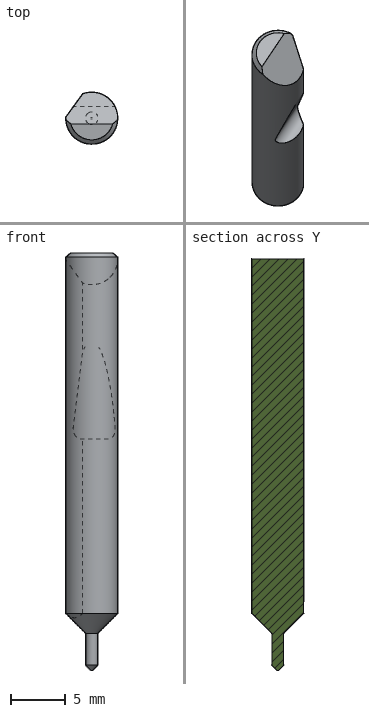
import cadquery as cq
import math

total_length = 38.1
shank_radius = 4.76 / 2

tip_radius = 0.08
neck_radius = 0.57
neck_bottom_z = neck_radius - tip_radius
neck_top_z = 3.4
shoulder_top_z = neck_top_z + shank_radius - neck_radius

top_chamfer = 0.4
bevel_top_y = -0.53

flat_distance = 1.98
flat_angle = 144.0

notch_floor_z = 21.1
notch_top_z = 30.0
notch_slope_angle = 9.7
notch_corner_radius = 1.0

clearance = 2.0
cut_reach = shank_radius + clearance


def make_turned_body():
    """Round body from the tip at the origin up to the chamfered top end."""
    return (
        cq.Workplane("XZ")
        .moveTo(0, 0)
        .lineTo(tip_radius, 0)
        .lineTo(neck_radius, neck_bottom_z)
        .lineTo(neck_radius, neck_top_z)
        .lineTo(shank_radius, shoulder_top_z)
        .lineTo(shank_radius, total_length - top_chamfer)
        .lineTo(shank_radius - top_chamfer, total_length)
        .lineTo(0, total_length)
        .close()
        .revolve(360, (0, 0, 0), (0, 1, 0))
    )


def make_flat_cutter():
    """Block that leaves the flat along the shank and into the shoulder cone."""
    return (
        cq.Workplane("XY")
        .box(cut_reach, 2 * cut_reach, total_length, centered=(False, True, False))
        .translate((flat_distance, 0, 0))
        .rotate((0, 0, 0), (0, 0, 1), flat_angle)
    )


def extrude_across_shank(profile_points):
    """Prism along X through the whole shank, from (y, z) points."""
    return cq.Workplane("YZ").polyline(profile_points).close().extrude(cut_reach, both=True)


def make_bevel_cutter():
    """Wedge that leaves the 45 degree bevel falling towards +Y."""
    bevel_run = cut_reach - bevel_top_y
    return extrude_across_shank([
        (bevel_top_y - clearance, total_length + clearance),
        (cut_reach, total_length + clearance),
        (cut_reach, total_length - bevel_run),
    ])


def make_notch_cutter():
    """Wedge with a level floor, a sloping wall and a rounded inner corner."""
    slope = math.tan(math.radians(notch_slope_angle))
    inner_y = shank_radius - (notch_top_z - notch_floor_z) * slope
    outer_z = notch_top_z + clearance / slope
    wedge = extrude_across_shank([
        (inner_y, notch_floor_z),
        (cut_reach, notch_floor_z),
        (cut_reach, outer_z),
    ])
    return wedge.edges("|X").edges("<Y").fillet(notch_corner_radius)


result = (
    make_turned_body()
    .cut(make_flat_cutter())
    .cut(make_bevel_cutter())
    .cut(make_notch_cutter())
)